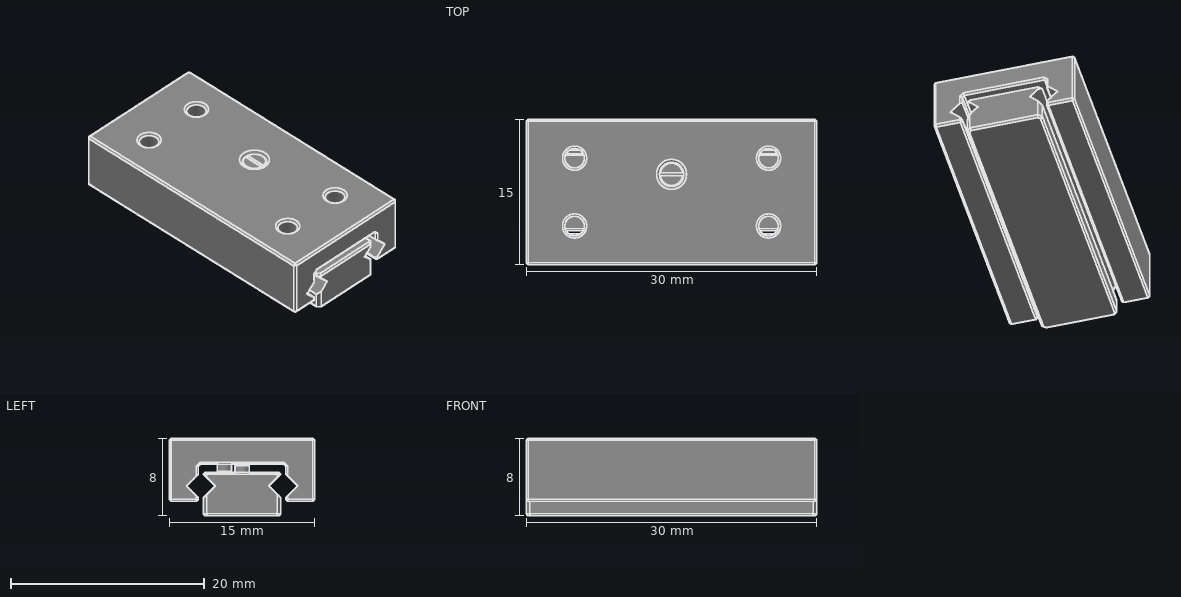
import cadquery as cq

length = 30.0
carriage_width = 15.0
overall_height = 8.0
carriage_bottom = 1.5
edge_chamfer = 0.2

channel_width = 9.0
channel_ceiling = 5.35

rail_width = 8.0
rail_height = 4.5
rail_corner_chamfer = 0.35

raceway_diagonal = 2.95
raceway_height = 3.1
raceway_offset = (channel_width + rail_width) / 4

mount_spacing_x = 20.0
mount_spacing_y = 7.0
mount_diameter = 2.0
mount_chamfer = 0.25

screw_y = 1.83
screw_diameter = 2.5
screw_rim_chamfer = 0.1
screw_countersink = 0.3
screw_top = overall_height - screw_countersink + screw_rim_chamfer
driver_slot_width = 0.3
driver_slot_depth = 0.3
screw_tip_bottom = 4.6

stop_diameter = 1.5
stop_pin_height = 0.7


def box_between(width, bottom, top):
    """Full-length block, centred on X and Y, from one height to another."""
    return (
        cq.Workplane("XY")
        .workplane(offset=bottom)
        .rect(length, width)
        .extrude(top - bottom)
    )


def cylinder_between(diameter, bottom, top, x=0.0, y=0.0):
    """Upright cylinder from one height to another."""
    return (
        cq.Workplane("XY")
        .workplane(offset=bottom)
        .center(x, y)
        .circle(diameter / 2)
        .extrude(top - bottom)
    )


def chamfered_hole(diameter, chamfer, x, y):
    """Cutter for a hole through the carriage top with a 45-degree chamfered mouth."""
    hole = cylinder_between(diameter, channel_ceiling, overall_height, x, y)
    mouth = cq.Solid.makeCone(
        diameter / 2,
        diameter / 2 + chamfer,
        chamfer,
        pnt=cq.Vector(x, y, overall_height - chamfer),
    )
    return hole.union(cq.Workplane(obj=mouth))


def make_raceways():
    """Cutter for the two diamond-shaped raceways along the slide."""
    half = raceway_diagonal / 2
    raceways = cq.Workplane("YZ").workplane(offset=-length / 2)
    for side in (-1, 1):
        y = side * raceway_offset
        raceways = (
            raceways.moveTo(y - half, raceway_height)
            .lineTo(y, raceway_height + half)
            .lineTo(y + half, raceway_height)
            .lineTo(y, raceway_height - half)
            .close()
        )
    return raceways.extrude(length)


def make_carriage():
    """Upper half: channelled block with raceways, mounting holes and screw hole."""
    block = box_between(carriage_width, carriage_bottom, overall_height)
    channel = box_between(channel_width, carriage_bottom, channel_ceiling)
    body = block.cut(channel).edges().chamfer(edge_chamfer)
    body = body.cut(make_raceways())
    for x in (-mount_spacing_x / 2, mount_spacing_x / 2):
        for y in (-mount_spacing_y / 2, mount_spacing_y / 2):
            body = body.cut(chamfered_hole(mount_diameter, mount_chamfer, x, y))
    return body.cut(chamfered_hole(screw_diameter, screw_countersink, 0, screw_y))


def make_rail():
    """Lower half: plain bar with raceways in its sides."""
    bar = box_between(rail_width, 0, rail_height)
    bar = bar.edges("|Z").chamfer(rail_corner_chamfer)
    bar = bar.faces("<Z or >Z").edges().chamfer(edge_chamfer)
    return bar.cut(make_raceways())


def make_stop_screw():
    """Slotted screw filling its hole, with a thinner tip reaching into the channel."""
    head = cylinder_between(screw_diameter, channel_ceiling, screw_top, y=screw_y)
    head = head.faces(">Z").edges().chamfer(screw_rim_chamfer)
    tip = cylinder_between(stop_diameter, screw_tip_bottom, channel_ceiling, y=screw_y)
    driver_slot = (
        cq.Workplane("XY")
        .workplane(offset=screw_top - driver_slot_depth)
        .center(0, screw_y)
        .rect(screw_diameter, driver_slot_width)
        .extrude(driver_slot_depth)
    )
    return head.union(tip).cut(driver_slot)


def make_stop_pin():
    """Round pin standing on the middle of the rail."""
    return cylinder_between(stop_diameter, rail_height, rail_height + stop_pin_height)


carriage = make_carriage()
rail = make_rail()
stop_screw = make_stop_screw()
stop_pin = make_stop_pin()

bodies = [carriage, rail, stop_screw, stop_pin]
result = cq.Compound.makeCompound([body.solids().val() for body in bodies])